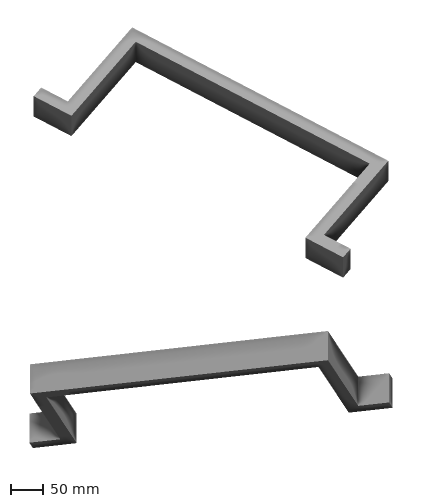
import cadquery as cq

overall_length = 580.0
overall_depth = 200.0
bar_height = 50.0
bar_thickness = 21.0
foot_projection = 50.0

outer_width = overall_length - 2 * foot_projection
inner_width = outer_width - 2 * bar_thickness


def block(length, depth):
    """Block centred on X, with its front face at Y = 0 and its base at Z = 0."""
    return cq.Workplane("XY").box(length, depth, bar_height, centered=(True, False, False))


channel = block(outer_width, overall_depth)
opening = block(inner_width, overall_depth - bar_thickness)

feet = block(overall_length, bar_thickness)

result = channel.union(feet).cut(opening)